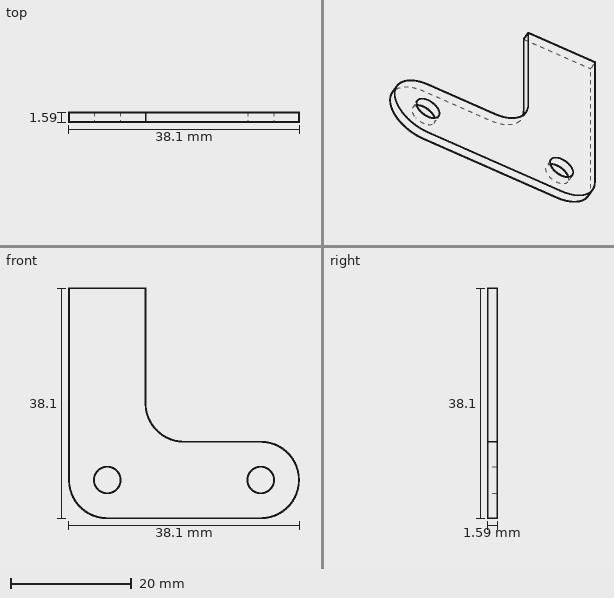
import cadquery as cq

leg_length = 38.1
leg_width = 12.7
thickness = 1.5875
hole_diameter = 4.37

round_radius = leg_width / 2
hole_spacing = leg_length - leg_width

left = -round_radius
bottom = -round_radius
top = left + leg_length
inner = left + leg_width


def make_plate():
    """L-shaped plate in the XZ plane, with one square end and one rounded end."""
    outline = (
        cq.Workplane("XZ")
        .moveTo(0, bottom)
        .lineTo(hole_spacing, bottom)
        .threePointArc((hole_spacing + round_radius, 0), (hole_spacing, inner))
        .lineTo(inner + round_radius, inner)
        .radiusArc((inner, inner + round_radius), round_radius)
        .lineTo(inner, top)
        .lineTo(left, top)
        .lineTo(left, 0)
        .radiusArc((0, bottom), -round_radius)
        .close()
    )
    return outline.extrude(thickness)


def drill_holes(plate):
    """Through holes concentric with the rounded corner and the rounded end."""
    cutters = (
        cq.Workplane("XZ")
        .pushPoints([(0, 0), (hole_spacing, 0)])
        .circle(hole_diameter / 2)
        .extrude(thickness)
    )
    return plate.cut(cutters)


result = drill_holes(make_plate())